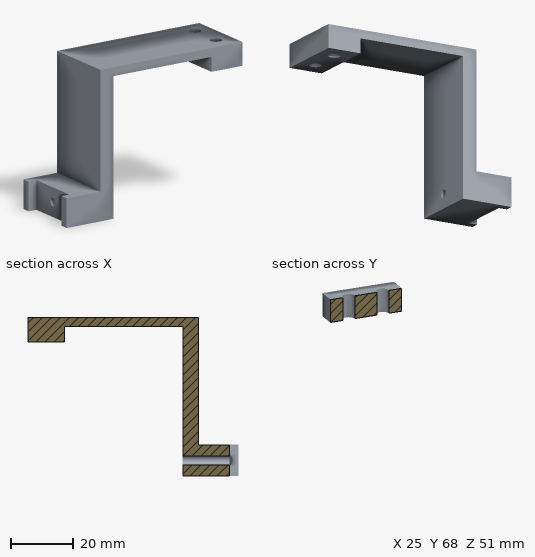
import cadquery as cq

width = 25.0
length = 68.0
height = 51.0

plate_thickness = 3.0
pad_length = 12.0
pad_height = 8.0
wall_thickness = 5.0
foot_reach = 13.0
foot_height = 10.0

notch_depth = 3.0
notch_width = 19.0

pad_hole_diameter = 4.0
pad_hole_spacing = 12.0
foot_hole_diameter = 2.7

wall_back = foot_reach + wall_thickness
pad_front = length - pad_length
pad_hole_y = length - pad_length / 2


def make_bracket():
    """Extrude the stepped side profile across the width."""
    profile = [
        (0, 0),
        (wall_back, 0),
        (wall_back, height - plate_thickness),
        (pad_front, height - plate_thickness),
        (pad_front, height - pad_height),
        (length, height - pad_height),
        (length, height),
        (foot_reach, height),
        (foot_reach, foot_height),
        (0, foot_height),
    ]
    return cq.Workplane("YZ").polyline(profile).close().extrude(width / 2, both=True)


def make_notch():
    """Full-height recess in the front face of the foot."""
    return cq.Workplane("XY").box(
        notch_width, notch_depth, foot_height, centered=(True, False, False)
    )


def make_pad_holes():
    """Two vertical holes through the top plate and pad."""
    return (
        cq.Workplane("XY", origin=(0, pad_hole_y, height - pad_height))
        .pushPoints([(-pad_hole_spacing / 2, 0), (pad_hole_spacing / 2, 0)])
        .circle(pad_hole_diameter / 2)
        .extrude(pad_height)
    )


def make_foot_hole():
    """Horizontal hole through the foot and the wall behind it."""
    return (
        cq.Workplane("XZ", origin=(0, 0, foot_height / 2))
        .circle(foot_hole_diameter / 2)
        .extrude(-wall_back)
    )


result = make_bracket().cut(make_notch()).cut(make_pad_holes()).cut(make_foot_hole())